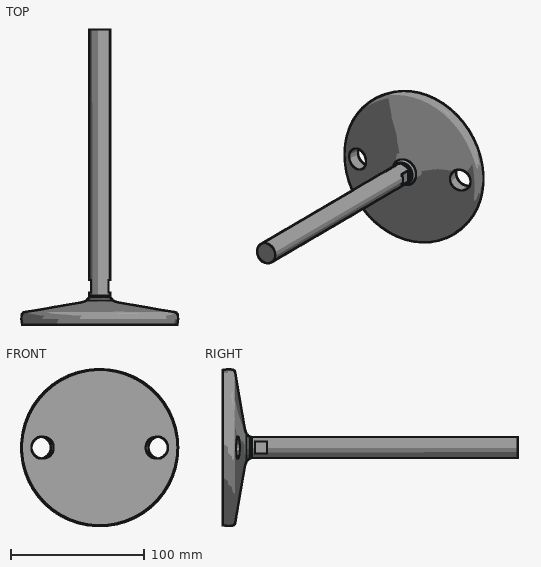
import cadquery as cq
import math

TOTAL_LENGTH = 222.0

rim_radius = 59.0
rim_height = 4.2
base_radius = 58.4
shoulder_radius = 58.8
shoulder_height = 6.9
back_outer_radius = 56.2

cone_angle = math.radians(9.7)
cone_height_at_axis = 19.3

neck_radius = 8.2
neck_top = 20.9
lip_thickness = 0.5
flare_radius = 10.2
flare_height = 18.2
flare_foot_radius = 14.7

hole_diameter = 16.5
hole_offset = 42.8
hole_reach = 44.5

stem_diameter = 16.0
stem_chamfer = 1.3
flats_across = 13.3
flats_start = 24.5
flats_length = 9.0


def cone_height(radius):
    """Height of the conical back at a distance from the axis."""
    return cone_height_at_axis - radius * math.tan(cone_angle)


def hole_tool(side):
    """Cylinder through the foot on one side, leaning outwards as it rises."""
    direction = cq.Vector(side * math.sin(cone_angle), math.cos(cone_angle), 0)
    center = cq.Vector(side * hole_offset, 0, 0)
    start = center - direction * (hole_reach / 2)
    return cq.Solid.makeCylinder(hole_diameter / 2, hole_reach, start, direction)


def make_foot():
    """Revolved disc with a conical back, a flared neck and two leaning holes."""
    profile = (
        cq.Workplane("XY")
        .lineTo(base_radius, 0)
        .lineTo(rim_radius, rim_height)
        .lineTo(shoulder_radius, shoulder_height)
        .tangentArcPoint((back_outer_radius, cone_height(back_outer_radius)), relative=False)
        .lineTo(flare_foot_radius, cone_height(flare_foot_radius))
        .tangentArcPoint((flare_radius, flare_height), relative=False)
        .lineTo(neck_radius, neck_top - lip_thickness)
        .lineTo(neck_radius, neck_top)
        .lineTo(0, neck_top)
        .close()
    )
    foot = profile.revolve(360, (0, 0, 0), (0, 1, 0))
    for side in (-1, 1):
        foot = foot.cut(cq.Workplane(hole_tool(side)))
    return foot


def make_stem():
    """Round rod standing on the neck, with two wrench flats near its lower end."""
    length = TOTAL_LENGTH - neck_top
    stem = (
        cq.Workplane("XZ", origin=(0, neck_top, 0))
        .circle(stem_diameter / 2)
        .extrude(-length)
        .faces("<Y")
        .chamfer(stem_chamfer)
    )
    for side in (-1, 1):
        flat_cutter = cq.Workplane("XY").box(stem_diameter, flats_length, stem_diameter).translate(
            (side * (flats_across + stem_diameter) / 2, flats_start + flats_length / 2, 0)
        )
        stem = stem.cut(flat_cutter)
    return stem


foot = make_foot()
stem = make_stem()
result = cq.Compound.makeCompound([foot.val(), stem.val()])